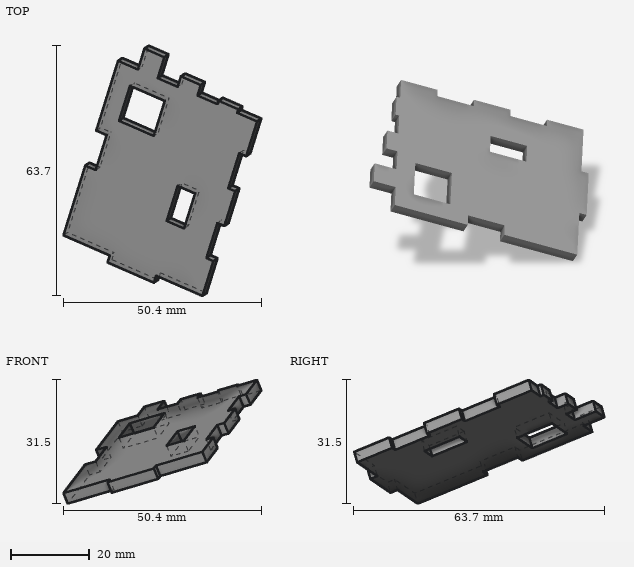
import cadquery as cq

panel_width = 40.0
panel_length = 50.0
thickness = 3.0

side_pitch = panel_length / 5
bottom_pitch = panel_width / 3
top_pitch = panel_width / 7

left_notch_depth = 3.0
right_notch_depth = 2.0
bottom_tab_height = 2.0
top_tab_heights = [6.0, 3.0, 1.0]

square_window_corner = (5.0, 35.0)
square_window_size = (10.0, 10.0)
narrow_window_corner = (25.0, 15.0)
narrow_window_size = (5.0, 10.0)

roll = 22.3013
pitch = -15.2764
yaw = -23.5529


def block(corner, size):
    """Full-thickness rectangular block below the top plane z = 0."""
    x, y = corner
    width, length = size
    return cq.Workplane("XY").box(width, length, thickness, centered=False).translate((x, y, -thickness))


def add_tabs(panel):
    """One tab in the middle of the bottom edge and three descending tabs on the top edge."""
    panel = panel.union(block((bottom_pitch, -bottom_tab_height), (bottom_pitch, bottom_tab_height)))
    for index, height in enumerate(top_tab_heights):
        tab_start = (2 * index + 1) * top_pitch
        panel = panel.union(block((tab_start, panel_length), (top_pitch, height)))
    return panel


def cut_side_notches(panel):
    """One notch in the left side, and two in the right side at the second and fourth pitches."""
    panel = panel.cut(block((0, 2 * side_pitch), (left_notch_depth, side_pitch)))
    right_notch_start = panel_width - right_notch_depth
    for step in (1, 3):
        panel = panel.cut(block((right_notch_start, step * side_pitch), (right_notch_depth, side_pitch)))
    return panel


def cut_windows(panel):
    """Two rectangular openings through the panel."""
    panel = panel.cut(block(square_window_corner, square_window_size))
    return panel.cut(block(narrow_window_corner, narrow_window_size))


def tilt(panel):
    """Turn the flat panel into its final attitude."""
    origin = (0, 0, 0)
    panel = panel.rotate(origin, (1, 0, 0), roll)
    panel = panel.rotate(origin, (0, 1, 0), pitch)
    return panel.rotate(origin, (0, 0, 1), yaw)


flat_panel = block((0, 0), (panel_width, panel_length))
flat_panel = add_tabs(flat_panel)
flat_panel = cut_side_notches(flat_panel)
flat_panel = cut_windows(flat_panel)

result = tilt(flat_panel)